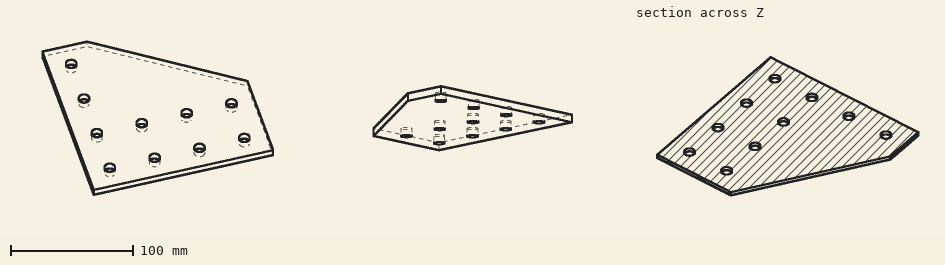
import cadquery as cq

side = 152.4
thickness = 6.4
hole_diameter = 8.7
cells_per_side = 4

pitch = side / cells_per_side
left_edge_height = pitch
top_edge_start = 2 * pitch
full_columns = (2, 3)
bottom_row = 0


def cell_centre(column, row):
    return ((column + 0.5) * pitch, (row + 0.5) * pitch)


outline = [
    (0, 0),
    (side, 0),
    (side, side),
    (top_edge_start, side),
    (0, left_edge_height),
]
plate = cq.Workplane("XY").polyline(outline).close().extrude(thickness)

hole_centres = [
    cell_centre(column, row)
    for column in range(cells_per_side)
    for row in range(cells_per_side)
    if row == bottom_row or column in full_columns
]
holes = (
    cq.Workplane("XY")
    .pushPoints(hole_centres)
    .circle(hole_diameter / 2)
    .extrude(thickness)
)

result = plate.cut(holes)